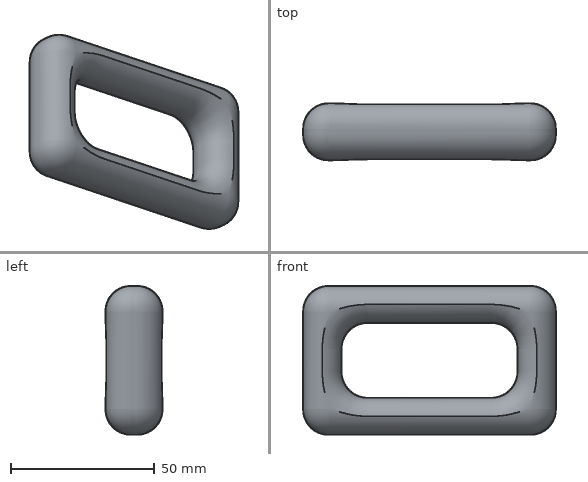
import cadquery as cq

length = 88.3
thickness = 20.0
height = 52.03
side_bar_width = 13.5
long_bar_width = 13.0
edge_radius = 9.0
opening_corner_radius = 9.0

opening_length = length - 2 * side_bar_width
opening_height = height - 2 * long_bar_width
rim_margin = 10.0


def outer_body():
    """Block with every edge rounded, giving ball-shaped corners."""
    return cq.Workplane("XY").box(length, thickness, height).edges().fillet(edge_radius)


def rim_blank():
    """Oversized plate pierced by the rounded opening, with both rims rounded over."""
    plate = cq.Workplane("XY").box(length + 2 * rim_margin, thickness, height + 2 * rim_margin)
    opening = (
        cq.Workplane("XY")
        .box(opening_length, thickness, opening_height)
        .edges("|Y")
        .fillet(opening_corner_radius)
    )
    inside_opening = cq.selectors.BoxSelector(
        (-length / 2, -thickness, -height / 2),
        (length / 2, thickness, height / 2),
    )
    pierced = plate.cut(opening)
    return pierced.faces("<Y or >Y").edges(inside_opening).fillet(edge_radius)


result = outer_body().intersect(rim_blank())